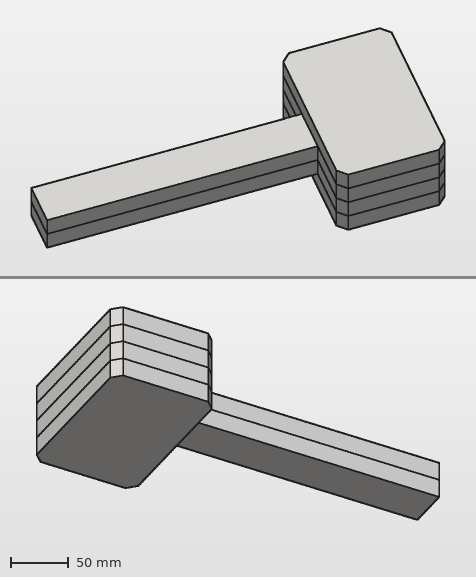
import cadquery as cq

total_length = 350.0
total_height = 72.0
layer_count = 4
layer_thickness = total_height / layer_count

head_width = 150.0
head_length = 100.0
corner_chamfer = 8.0

handle_width = 40.0
handle_length = total_length - head_length


def head_plate():
    """Head outline with chamfered corners, one layer thick, resting on Z = 0."""
    return (
        cq.Workplane("XY")
        .rect(head_width, head_length)
        .extrude(layer_thickness)
        .edges("|Z")
        .chamfer(corner_chamfer)
    )


def handle_plate():
    """Head plate and its half of the handle, in one T-shaped piece."""
    handle = (
        cq.Workplane("XY")
        .center(0, -(head_length + handle_length) / 2)
        .rect(handle_width, handle_length)
        .extrude(layer_thickness)
    )
    return head_plate().union(handle)


layers = []
for index in range(layer_count):
    is_outer = index in (0, layer_count - 1)
    plate = head_plate() if is_outer else handle_plate()
    layers.append(plate.translate((0, 0, index * layer_thickness)))

result = cq.Compound.makeCompound([layer.val() for layer in layers])